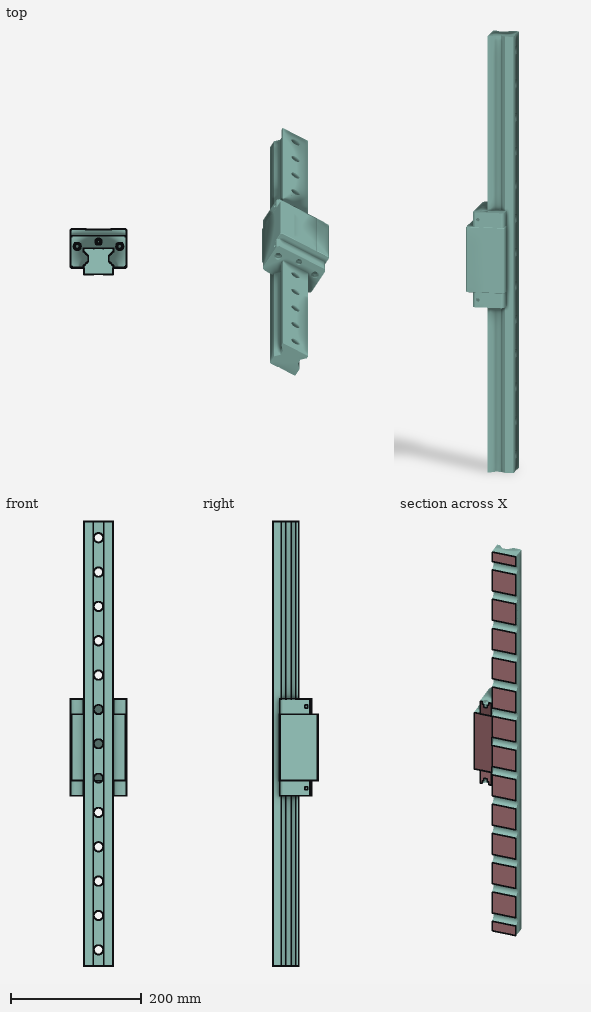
import cadquery as cq
import math

RAIL_LENGTH = 680.0
RAIL_HALF_WIDTH = 22.5
RAIL_HEIGHT = 40.0
WAIST_HALF_WIDTH = 15.5
SLOPE = RAIL_HALF_WIDTH - WAIST_HALF_WIDTH
SHOULDER_HEIGHT = 13.3
HEAD_LOWER_EDGE = 35.6
BASE_CHAMFER = 1.0
BASE_GROOVE_WIDTH = 16.4
BASE_GROOVE_DEPTH = 0.5
HOLE_DIAMETER = 14.0
HOLE_COUNT = 13
HOLE_PITCH = 52.5

CARRIAGE_Z = -5.5
CARRIAGE_WIDTH = 86.0
BLOCK_LENGTH = 102.0
BLOCK_BOTTOM = 10.0
BLOCK_TOP = 70.0
BLOCK_CHAMFER = 2.0
BLOCK_END_CHAMFER = 0.5
TOP_RECESS_WIDTH = 39.0
TOP_RECESS_DEPTH = 0.7

CAP_LENGTH = 23.0
CAP_BOTTOM = 11.0
CAP_TOP = 59.5
CAP_CHAMFER = 3.0
CAP_CORNER_WIDTH = 7.0
CAP_CORNER_HEIGHT = 5.0
CAP_CLEARANCE = 0.5

PORT_X = 32.5
PORT_Y = 43.2
PORT_DIAMETER = 11.5
PORT_DEPTH = 5.0
PORT_BORE_DIAMETER = 7.0
PORT_BORE_DEPTH = 10.0
CENTRE_PORT_Y = 50.4
CENTRE_PORT_DIAMETER = 10.0
CENTRE_BORE_DIAMETER = 4.92

CHANNEL_Y = 49.4
CHANNEL_HEIGHT = 6.0
CHANNEL_LENGTH = 72.0
CHANNEL_COVER = 2.0

SIDE_HOLE_Y = 51.5
SIDE_HOLE_DIAMETER = 5.2
SIDE_HOLE_DEPTH = 4.0

MIRROR_SIDES = (-1, 1)


def centred_plane(length):
    """XY workplane from which an extrusion of the given length is centred on Z = 0."""
    return cq.Workplane("XY", origin=(0, 0, -length / 2))


def rail_bar(clearance):
    """Full-length waisted bar: the rail's shape with its sides and top grown by the clearance."""
    half = RAIL_HALF_WIDTH + clearance
    waist = WAIST_HALF_WIDTH + clearance
    corner_shift = clearance * math.tan(math.radians(22.5))
    shoulder = SHOULDER_HEIGHT + corner_shift
    head = HEAD_LOWER_EDGE - corner_shift
    right_side = [
        (half, 0),
        (half, shoulder),
        (waist, shoulder + SLOPE),
        (waist, head - SLOPE),
        (half, head),
        (half, RAIL_HEIGHT + clearance),
    ]
    left_side = [(-x, y) for x, y in reversed(right_side)]
    outline = centred_plane(RAIL_LENGTH).polyline(right_side + left_side).close()
    return outline.extrude(RAIL_LENGTH)


def box_between(width, bottom, top, length):
    """Box centred on X and Z, between two heights in Y."""
    return cq.Workplane("XY").box(width, top - bottom, length).translate((0, (top + bottom) / 2, 0))


def make_rail():
    rail = rail_bar(0)
    rail = rail.edges("|Z and <Y").chamfer(BASE_CHAMFER)
    groove = box_between(BASE_GROOVE_WIDTH, 0, BASE_GROOVE_DEPTH, RAIL_LENGTH)
    holes = (
        cq.Workplane("XZ")
        .rarray(1, HOLE_PITCH, 1, HOLE_COUNT)
        .circle(HOLE_DIAMETER / 2)
        .extrude(-RAIL_HEIGHT)
    )
    return rail.cut(groove).cut(holes)


def make_block():
    block = box_between(CARRIAGE_WIDTH, BLOCK_BOTTOM, BLOCK_TOP, BLOCK_LENGTH)
    block = block.edges("|Z").chamfer(BLOCK_CHAMFER)
    block = block.faces("<Z or >Z").edges().chamfer(BLOCK_END_CHAMFER)
    recess = box_between(TOP_RECESS_WIDTH, BLOCK_TOP - TOP_RECESS_DEPTH, BLOCK_TOP, BLOCK_LENGTH)
    block = block.cut(recess).cut(rail_bar(0))
    return block.translate((0, 0, CARRIAGE_Z))


def stepped_hole(plane, diameter, depth, bore_diameter, bore_depth):
    """Cutter for a counterbored blind hole that goes in against the plane's normal."""
    counterbore = cq.Workplane(plane).circle(diameter / 2).extrude(-depth)
    bore = cq.Workplane(plane).circle(bore_diameter / 2).extrude(-bore_depth)
    return counterbore.union(bore)


def make_cap_blank():
    """Plain end cap with chamfered upper corners and elliptical lower corners."""
    half = CARRIAGE_WIDTH / 2
    corner_centre = half - CAP_CORNER_WIDTH
    side_start = CAP_BOTTOM + CAP_CORNER_HEIGHT
    blank = box_between(CARRIAGE_WIDTH, CAP_BOTTOM, CAP_TOP, CAP_LENGTH)
    blank = blank.edges("|Z and >Y").chamfer(CAP_CHAMFER)
    for side in MIRROR_SIDES:
        corner = (
            centred_plane(CAP_LENGTH)
            .center(side * (half - CAP_CORNER_WIDTH / 2), CAP_BOTTOM + CAP_CORNER_HEIGHT / 2)
            .rect(CAP_CORNER_WIDTH, CAP_CORNER_HEIGHT)
            .extrude(CAP_LENGTH)
        )
        rounding = (
            centred_plane(CAP_LENGTH)
            .center(side * corner_centre, side_start)
            .ellipse(CAP_CORNER_WIDTH, CAP_CORNER_HEIGHT)
            .extrude(CAP_LENGTH)
        )
        blank = blank.cut(corner.cut(rounding))
    return blank


def make_upper_cap():
    """End cap on the +Z end of the block."""
    inner_z = CARRIAGE_Z + BLOCK_LENGTH / 2
    outer_z = inner_z + CAP_LENGTH
    middle_z = (inner_z + outer_z) / 2
    cap = make_cap_blank().translate((0, 0, middle_z)).cut(rail_bar(CAP_CLEARANCE))

    for side in MIRROR_SIDES:
        face = cq.Plane((side * PORT_X, PORT_Y, outer_z))
        cap = cap.cut(
            stepped_hole(face, PORT_DIAMETER, PORT_DEPTH, PORT_BORE_DIAMETER, PORT_BORE_DEPTH)
        )
    centre = cq.Plane((0, CENTRE_PORT_Y, outer_z))
    cap = cap.cut(
        stepped_hole(
            centre, CENTRE_PORT_DIAMETER, PORT_DEPTH, CENTRE_BORE_DIAMETER, PORT_BORE_DEPTH
        )
    )

    channel = (
        cq.Workplane(cq.Plane((0, CHANNEL_Y, outer_z - PORT_DEPTH)))
        .slot2D(CHANNEL_LENGTH, CHANNEL_HEIGHT)
        .extrude(PORT_DEPTH - CHANNEL_COVER)
    )
    cap = cap.cut(channel)

    for side in MIRROR_SIDES:
        side_face = cq.Plane(
            (side * CARRIAGE_WIDTH / 2, SIDE_HOLE_Y, middle_z),
            xDir=(0, 1, 0),
            normal=(side, 0, 0),
        )
        side_hole = cq.Workplane(side_face).circle(SIDE_HOLE_DIAMETER / 2).extrude(-SIDE_HOLE_DEPTH)
        cap = cap.cut(side_hole)
    return cap


rail = make_rail()
block = make_block()
upper_cap = make_upper_cap()
lower_cap = upper_cap.mirror("XY", (0, 0, CARRIAGE_Z))

result = cq.Compound.makeCompound([rail.val(), block.val(), upper_cap.val(), lower_cap.val()])